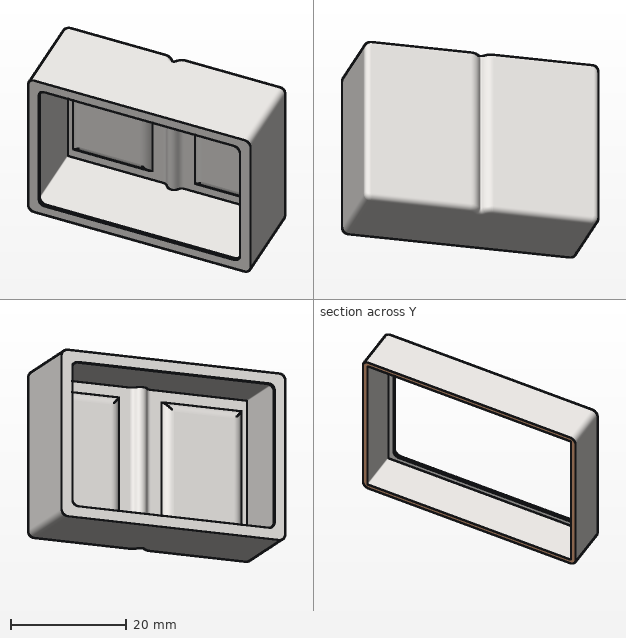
import cadquery as cq
import math

width = 42.0
depth = 16.0
height = 30.0
corner_radius = 1.2
back_edge_radius = 1.0

wall = 1.0
lip_overhang = 1.0
lip_depth = 0.5
mouth_corner_radius = 1.2

groove_depth = 1.1
groove_bottom_radius = 0.2
groove_shoulder_radius = 2.0
flank_angle = math.radians(50.0)

pad_width = 15.0
pad_length = 24.0
pad_height = 1.2
pad_edge_radius = 2.0

cavity_width = width - 2 * wall
cavity_height = height - 2 * wall
mouth_width = cavity_width - 2 * lip_overhang
mouth_height = cavity_height - 2 * lip_overhang
inner_back = depth - wall
pad_center_x = (mouth_width - pad_width) / 2


def grooved_block(block_width, block_height, front, inset):
    """Block from y = front whose back face is the grooved outer back moved in by `inset`."""
    half_width = block_width / 2
    back = depth - inset
    bottom_radius = groove_bottom_radius + inset
    shoulder_radius = groove_shoulder_radius - inset
    sine = math.sin(flank_angle)
    cosine = math.cos(flank_angle)

    bottom_center_y = depth - groove_depth + groove_bottom_radius
    shoulder_center_y = depth - groove_shoulder_radius
    radius_sum = groove_bottom_radius + groove_shoulder_radius
    flank_rise = shoulder_center_y - bottom_center_y + radius_sum * cosine
    shoulder_center_x = radius_sum * sine + flank_rise / math.tan(flank_angle)

    bottom_x = bottom_radius * sine
    bottom_y = bottom_center_y - bottom_radius * cosine
    flank_x = shoulder_center_x - shoulder_radius * sine
    flank_y = shoulder_center_y + shoulder_radius * cosine
    middle_x = shoulder_center_x - shoulder_radius * math.sin(flank_angle / 2)
    middle_y = shoulder_center_y + shoulder_radius * math.cos(flank_angle / 2)

    return (
        cq.Workplane("XY")
        .workplane(offset=-block_height / 2)
        .moveTo(-half_width, front)
        .lineTo(half_width, front)
        .lineTo(half_width, back)
        .lineTo(shoulder_center_x, back)
        .threePointArc((middle_x, middle_y), (flank_x, flank_y))
        .lineTo(bottom_x, bottom_y)
        .threePointArc((0, bottom_center_y - bottom_radius), (-bottom_x, bottom_y))
        .lineTo(-flank_x, flank_y)
        .threePointArc((-middle_x, middle_y), (-shoulder_center_x, back))
        .lineTo(-half_width, back)
        .close()
        .extrude(block_height)
    )


def outer_body():
    """Solid outer shape with its groove and rounded edges."""
    body = grooved_block(width, height, 0, 0)
    body = body.edges("|Y").fillet(corner_radius)
    side_edges = body.faces(">Z or <Z or <X or >X").edges("not(<Y or |Y)")
    corner_arcs = body.edges("%CIRCLE").edges(">Y")
    return side_edges.add(corner_arcs).fillet(back_edge_radius)


def cavity():
    """Space behind the lip, one wall thickness inside the outer shape."""
    pocket = grooved_block(cavity_width, cavity_height, lip_depth, wall)
    return pocket.edges("|Y").fillet(corner_radius - wall)


def mouth():
    """Opening through the lip; the half in front of y = 0 lies outside the part."""
    opening = cq.Workplane("XY").box(mouth_width, 2 * lip_depth, mouth_height)
    return opening.edges("|Y").fillet(mouth_corner_radius)


def pad(center_x):
    """Cushion whose rounded edges are partly sunk into the back wall."""
    edge_center_drop = pad_edge_radius - pad_height
    edge_inset = math.sqrt(pad_edge_radius**2 - edge_center_drop**2)
    sunk_margin = pad_edge_radius - edge_inset
    sunk_depth = (edge_center_drop + wall) / 2
    thickness = pad_height + sunk_depth
    full_width = pad_width + 2 * sunk_margin
    full_length = pad_length + 2 * sunk_margin
    block = cq.Workplane("XY").box(full_width, thickness, full_length)
    block = block.faces("<Y").edges().fillet(pad_edge_radius)
    return block.translate((center_x, inner_back - pad_height + thickness / 2, 0))


result = outer_body().cut(cavity()).cut(mouth())
for side in (-1, 1):
    result = result.union(pad(side * pad_center_x))